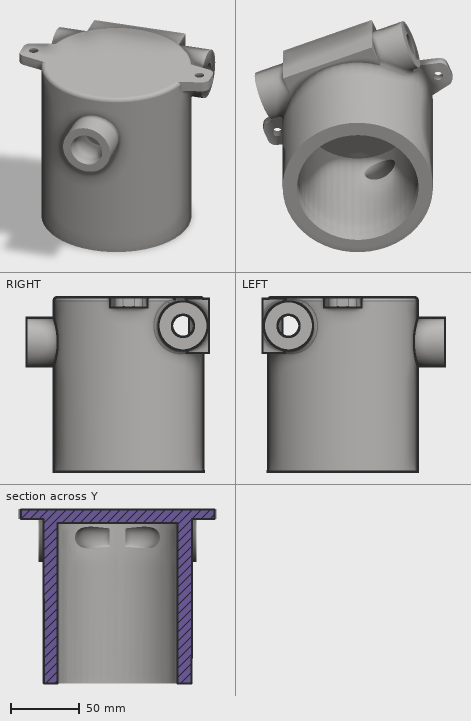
import cadquery as cq
import math

body_radius = 55.0
body_height = 128.0
cavity_radius = 44.5
wall = body_radius - cavity_radius
top_round = 3.0

block_half_length = 35.0
block_rear_y = 59.0
block_top_z = -1.2
block_height = 39.8

pipe_radius = 18.0
pipe_bore_radius = 8.0
pipe_reach = 58.0
pipe_y = 39.8
pipe_z = block_top_z - block_height / 2
web_half_width = 6.0
pipe_fillet = 2.5

seam_samples = (0.1, 0.3, 0.5, 0.7, 0.9)
seam_tolerance = 0.01

spout_radius = 18.0
spout_bore_radius = 12.0
spout_reach = 75.0
spout_z = -33.0

ear_reach = 72.5
ear_thickness = 7.5
ear_end_half_width = 8.9
ear_taper = math.radians(14.0)
ear_corner_radius = 6.0
ear_hole_x = 63.5
ear_hole_diameter = 7.0


def x_cylinder(radius, x_start, x_end):
    """Cylinder along X on the axis of the side pipes."""
    plane = cq.Workplane("YZ", origin=(x_start, pipe_y, pipe_z))
    return plane.circle(radius).extrude(x_end - x_start)


def y_cylinder(radius):
    """Cylinder along the spout axis, from the cup centre to the spout mouth."""
    return cq.Workplane("XZ", origin=(0, 0, spout_z)).circle(radius).extrude(spout_reach)


def make_cup():
    cup = cq.Workplane("XY").circle(body_radius).extrude(-body_height)
    return cup.faces(">Z").edges().fillet(top_round)


def make_block():
    block = cq.Workplane("XY", origin=(0, 0, block_top_z - block_height))
    block = block.center(0, block_rear_y / 2)
    return block.rect(2 * block_half_length, block_rear_y).extrude(block_height)


def is_pipe_joint(edge):
    """True for the curved seams where a side pipe meets the cup wall."""
    if edge.geomType() in ("LINE", "CIRCLE"):
        return False
    for fraction in seam_samples:
        point = edge.positionAt(fraction)
        on_pipe = abs(math.hypot(point.y - pipe_y, point.z - pipe_z) - pipe_radius) < seam_tolerance
        on_wall = abs(math.hypot(point.x, point.y) - body_radius) < seam_tolerance
        if not (on_pipe and on_wall):
            return False
    return True


def make_ears():
    root_half_width = ear_end_half_width + ear_reach * math.tan(ear_taper)
    outline = [
        (ear_reach, -ear_end_half_width),
        (ear_reach, ear_end_half_width),
        (0, root_half_width),
        (-ear_reach, ear_end_half_width),
        (-ear_reach, -ear_end_half_width),
        (0, -root_half_width),
    ]
    ears = cq.Workplane("XY").polyline(outline).close().extrude(-ear_thickness)
    ears = ears.edges("|Z and (<X or >X)").fillet(ear_corner_radius)
    holes = cq.Workplane("XY").pushPoints([(-ear_hole_x, 0), (ear_hole_x, 0)])
    return ears.cut(holes.circle(ear_hole_diameter / 2).extrude(-ear_thickness))


def make_cavity():
    cavity = cq.Workplane("XY", origin=(0, 0, -body_height))
    return cavity.circle(cavity_radius).extrude(body_height - wall)


housing = make_cup().union(make_block())
housing = housing.union(x_cylinder(pipe_radius, -pipe_reach, pipe_reach))
joints = [edge for edge in housing.edges().vals() if is_pipe_joint(edge)]
housing = housing.newObject(joints).fillet(pipe_fillet)

housing = housing.union(make_ears()).union(y_cylinder(spout_radius))

housing = housing.cut(make_cavity()).cut(y_cylinder(spout_bore_radius))
housing = housing.cut(x_cylinder(pipe_bore_radius, -pipe_reach, -web_half_width))
housing = housing.cut(x_cylinder(pipe_bore_radius, web_half_width, pipe_reach))

result = housing